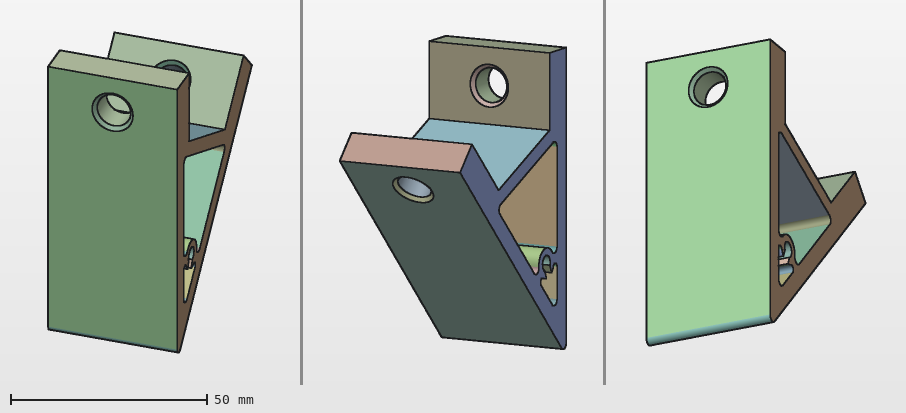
import cadquery as cq
import math

width = 35.0
height = 77.9
wedge_angle = 45.0

lip_thickness = 8.95
lip_length = 20.0
wall_thickness = 5.0
strut_thickness = 4.0
corner_radius = 1.5

hole_diameter = 9.0
countersink_diameter = 11.05

ring_outer_radius = 4.0
ring_inner_radius = 2.0
ring_height = 23.7
ring_slot_width = 2.9
lower_web_radius = 1.0

half_angle = math.radians(wedge_angle / 2)
apex_drop = corner_radius / math.tan(half_angle) - corner_radius
wall_length = height + apex_drop
ring_z = ring_height + apex_drop
ring_y = ring_z * math.tan(half_angle)
bisector_normal = (0, math.cos(half_angle), -math.sin(half_angle))


def prism(sketch):
    """Extrude a YZ outline over the full width, centred on X = 0."""
    return sketch.extrude(width / 2, both=True)


def polygon_prism(points):
    return prism(cq.Workplane("YZ").polyline(points).close())


def cylinder(center, radius):
    return prism(cq.Workplane("YZ").center(*center).circle(radius))


def with_mirror_image(half):
    return half.union(half.mirror(bisector_normal)).clean()


def round_edge(body, point, radius):
    """Round the widthwise edge that passes through a YZ point."""
    return body.edges(cq.NearestToPointSelector((0, *point))).fillet(radius)


def bisector_point(start):
    """Where a line square to the bisector, drawn from start, meets the bisector."""
    distance = start[0] * math.sin(half_angle) + start[1] * math.cos(half_angle)
    return (distance * math.sin(half_angle), distance * math.cos(half_angle))


def mirrored_point(point):
    middle = bisector_point(point)
    return (2 * middle[0] - point[0], 2 * middle[1] - point[1])


def make_wedge():
    strut_corner = (lip_thickness, wall_length - lip_length)
    half = polygon_prism([
        (0, 0),
        (0, wall_length),
        (lip_thickness, wall_length),
        strut_corner,
        bisector_point(strut_corner),
    ])
    return round_edge(with_mirror_image(half), (0, 0), corner_radius)


def make_cavity():
    bottom = (wall_thickness, wall_thickness / math.tan(half_angle))
    strut_top_z = wall_length - lip_length + (lip_thickness - wall_thickness) * math.tan(half_angle)
    top = (wall_thickness, strut_top_z - strut_thickness / math.cos(half_angle))
    cavity = with_mirror_image(polygon_prism([bottom, top, bisector_point(top)]))
    for corner in (bottom, top, mirrored_point(top)):
        cavity = round_edge(cavity, corner, corner_radius)
    return cavity


def web_arc_center(radius, side):
    """Centre of an arc touching both wall and ring, above (1) or below (-1) the ring centre."""
    y = wall_thickness + radius
    rise = math.sqrt((ring_outer_radius + radius) ** 2 - (ring_y - y) ** 2)
    return (y, ring_z + side * rise)


def make_web():
    """Web from the ring to the wall, hollowed by a tangent arc above and below."""
    upper = web_arc_center(corner_radius, 1)
    lower = web_arc_center(lower_web_radius, -1)
    web = polygon_prism([
        (ring_y, ring_z),
        upper,
        (wall_thickness, upper[1]),
        (wall_thickness, lower[1]),
        lower,
    ])
    return web.cut(cylinder(upper, corner_radius)).cut(cylinder(lower, lower_web_radius))


def make_ring_opening():
    """Ring bore with a slot opening towards the wedge apex."""
    slot_length = 2 * ring_outer_radius
    slot = (
        cq.Workplane("XY")
        .box(width, ring_slot_width, slot_length)
        .translate((0, 0, -slot_length / 2))
        .rotate((0, 0, 0), (1, 0, 0), -wedge_angle / 2)
        .translate((0, ring_y, ring_z))
    )
    return slot.union(cylinder((ring_y, ring_z), ring_inner_radius))


def make_hole():
    """Screw hole through the lip of the wall, countersunk at 45 degrees on both faces."""
    depth = (countersink_diameter - hole_diameter) / 2
    hole_radius = hole_diameter / 2
    rim_radius = countersink_diameter / 2
    section = (
        cq.Workplane("XY")
        .polyline([
            (0, 0),
            (rim_radius, 0),
            (hole_radius, depth),
            (hole_radius, lip_thickness - depth),
            (rim_radius, lip_thickness),
            (0, lip_thickness),
        ])
        .close()
    )
    return section.revolve(360, (0, 0), (0, 1)).translate((0, 0, wall_length - lip_length / 2))


webs = with_mirror_image(make_web())
ring = cylinder((ring_y, ring_z), ring_outer_radius).union(webs).cut(make_ring_opening())
hole = make_hole()

result = (
    make_wedge()
    .cut(make_cavity())
    .union(ring)
    .cut(hole)
    .cut(hole.mirror(bisector_normal))
    .translate((0, 0, -apex_drop))
)